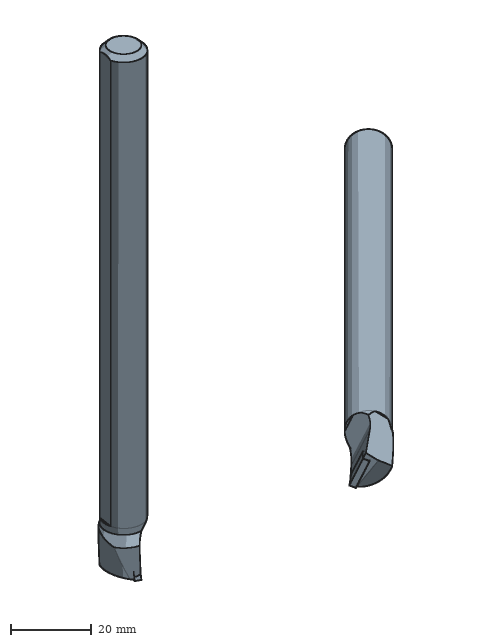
import cadquery as cq
import math

total_length = 151.2
overall_width = 14.8
overall_depth = 12.7

shank_diameter = 12.0
shank_radius = shank_diameter / 2
shank_flat_distance = 5.5
shank_chamfer = 1.5
collar_top = 14.0

cutter_reach = shank_diameter
overlap = 1.5

head_center_x = 1.2
head_radius = 7.9
head_center_y = head_radius + shank_radius - overall_depth
flare_top = 12.1
flare_bottom = 9.2
flare_radius = 7.5
skirt_end_radius = 8.5
heel_x = -1.5
heel_z = 1.4
heel_angle = 18.0
end_relief_angle = 12.0
end_relief_start_y = -2.1
head_bottom = 0.3

rake_angle = 11.3
rake_offset = 1.4
runout_start = 8.2
runout_radius = 6.4

insert_thickness = 1.8
insert_inner_x = 0.3
insert_tip_x = overall_width - shank_radius
insert_height = 3.8
insert_side_relief = 1.4
insert_inner_z = 0.2


def turn_to_rake(body):
    """Turn a body from the XZ frame into the frame of the rake face."""
    return body.rotate((0, 0, 0), (0, 0, 1), -rake_angle)


def make_shank():
    shank = (
        cq.Workplane("XY", origin=(0, 0, collar_top))
        .circle(shank_radius)
        .extrude(total_length - collar_top)
        .faces(">Z")
        .chamfer(shank_chamfer)
    )
    flat_stock = cq.Workplane("XY").box(
        shank_diameter, shank_radius, total_length, centered=(True, False, False)
    ).translate((0, -shank_flat_distance - shank_radius, collar_top))
    return shank.cut(flat_stock)


def make_head_blank():
    """Join the collar to the eccentric cylinder, limited by a flare and a conical skirt."""
    envelope = (
        cq.Workplane("XZ")
        .moveTo(0, 0)
        .lineTo(skirt_end_radius, 0)
        .lineTo(flare_radius, flare_bottom)
        .lineTo(shank_radius, flare_top)
        .lineTo(shank_radius, collar_top)
        .lineTo(0, collar_top)
        .close()
        .revolve(360, (0, 0), (0, 1))
    )
    eccentric = (
        cq.Workplane("XY", origin=(head_center_x, head_center_y, head_bottom))
        .circle(head_radius)
        .extrude(collar_top - head_bottom)
        .intersect(envelope)
    )
    collar = (
        cq.Workplane("XY", origin=(0, 0, flare_top))
        .circle(shank_radius)
        .extrude(collar_top - flare_top)
    )
    return eccentric.union(collar)


def make_heel_cutter():
    """Stock behind the sloping heel on the -X side."""
    slope = math.tan(math.radians(heel_angle))
    bottom_x = heel_x + (heel_z + overlap) * slope
    top_x = heel_x - (collar_top - heel_z) * slope
    return (
        cq.Workplane("XZ")
        .polyline([
            (bottom_x, -overlap),
            (top_x, collar_top),
            (-cutter_reach, collar_top),
            (-cutter_reach, -overlap),
        ])
        .close()
        .extrude(cutter_reach, both=True)
    )


def make_rake_cutter():
    """Stock in front of the rake face, ending in a concave runout."""
    runout_height = collar_top - runout_start
    runout_depth = runout_radius - math.sqrt(runout_radius**2 - runout_height**2)
    middle_angle = math.asin(runout_height / runout_radius) / 2
    middle = (
        rake_offset + runout_radius * (1 - math.cos(middle_angle)),
        runout_start + runout_radius * math.sin(middle_angle),
    )
    cutter = (
        cq.Workplane("YZ")
        .moveTo(rake_offset, -overlap)
        .lineTo(rake_offset, runout_start)
        .threePointArc(middle, (rake_offset + runout_depth, collar_top))
        .lineTo(cutter_reach, collar_top)
        .lineTo(cutter_reach, -overlap)
        .close()
        .extrude(cutter_reach, both=True)
    )
    return turn_to_rake(cutter)


def make_end_relief_cutter():
    """Stock under the end face, which rises toward -Y."""
    rise = (cutter_reach + end_relief_start_y) * math.tan(math.radians(end_relief_angle))
    return (
        cq.Workplane("YZ")
        .polyline([
            (end_relief_start_y, head_bottom),
            (-cutter_reach, head_bottom + rise),
            (-cutter_reach, -overlap),
            (end_relief_start_y, -overlap),
        ])
        .close()
        .extrude(cutter_reach, both=True)
    )


def make_insert():
    tip_distance = (insert_tip_x - rake_offset * math.sin(math.radians(rake_angle))) / math.cos(
        math.radians(rake_angle)
    )
    plate = (
        cq.Workplane("XZ", origin=(0, rake_offset, 0))
        .polyline([
            (insert_inner_x, insert_inner_z),
            (tip_distance, 0),
            (tip_distance - insert_side_relief, insert_height),
            (insert_inner_x, insert_height),
        ])
        .close()
        .extrude(insert_thickness)
    )
    return turn_to_rake(plate)


insert = make_insert()
head = (
    make_head_blank()
    .cut(make_heel_cutter())
    .cut(make_rake_cutter())
    .cut(make_end_relief_cutter())
    .cut(insert)
)
bar = make_shank().union(head)

result = cq.Compound.makeCompound([bar.val(), insert.val()])